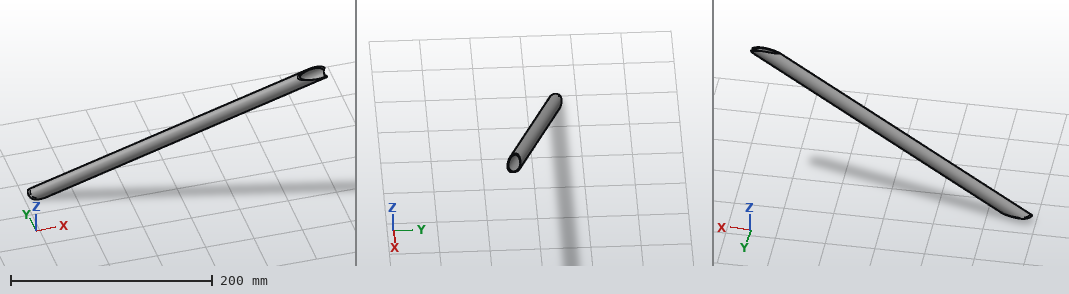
import cadquery as cq

outer_radius = 7.3
wall = 1.2

run_x = 304.0
run_y = -62.8
run_z = 146.5
low_node = cq.Vector(0, 0, 0)
high_node = cq.Vector(run_x, run_y, run_z)
axis = high_node - low_node

rail_radius = 10.8
post_radius = 8.8
rail_direction = cq.Vector(1, 0, 0)
post_direction = cq.Vector(0, run_y, run_z)
mating_half_length = 58.5


def cylinder_from(start, direction, length, radius):
    """Solid cylinder of the given length, starting at a point."""
    return cq.Workplane(cq.Plane(origin=start, normal=direction)).circle(radius).extrude(length)


def mating_cylinder(node, direction, radius):
    """Cylinder centred on a node, used to cope the tube end."""
    start = node - direction.normalized() * mating_half_length
    return cylinder_from(start, direction, 2 * mating_half_length, radius)


def brace_tube():
    """Straight round tube between the two nodes."""
    outside = cylinder_from(low_node, axis, axis.Length, outer_radius)
    bore = cylinder_from(low_node, axis, axis.Length, outer_radius - wall)
    return outside.cut(bore)


result = brace_tube()

for node in (low_node, high_node):
    result = result.cut(mating_cylinder(node, rail_direction, rail_radius))

result = result.cut(mating_cylinder(high_node, post_direction, post_radius))